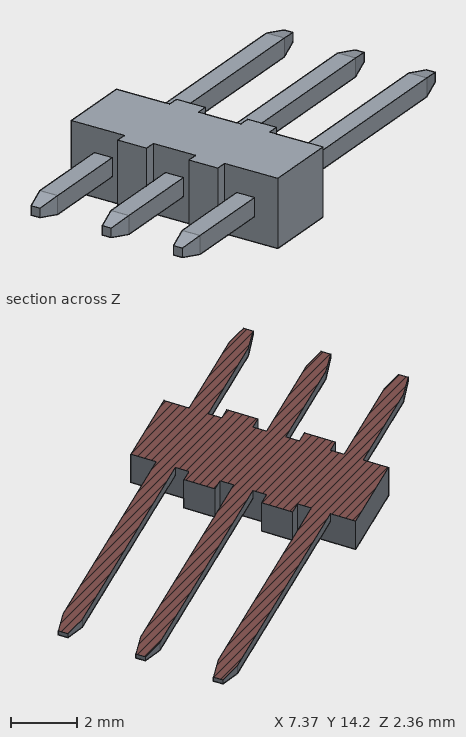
import cadquery as cq

PIN_COUNT = 3
PITCH = 2.54

BODY_LENGTH = 7.37
BODY_DEPTH = 2.54
BODY_HEIGHT = 2.36

RIB_WIDTH = 1.03
RIB_PROJECTION = 0.38

PIN_SIZE = 0.64
PIN_LENGTH = 14.22
PIN_FRONT_REACH = 5.08
TIP_LENGTH = 0.74
TIP_SIZE = 0.32


def row_positions(count):
    """X positions of a centred row of items spaced by the pitch."""
    return [(i - (count - 1) / 2) * PITCH for i in range(count)]


def make_body():
    """Insulator strip with a full-height rib between each pair of pins."""
    body = cq.Workplane("XY").box(BODY_LENGTH, BODY_DEPTH, BODY_HEIGHT)
    rib_depth = BODY_DEPTH + 2 * RIB_PROJECTION
    for x in row_positions(PIN_COUNT - 1):
        rib = cq.Workplane("XY").box(RIB_WIDTH, rib_depth, BODY_HEIGHT)
        body = body.union(rib.translate((x, 0, 0)))
    return body


def make_tip(y_base, direction):
    """Frustum from the full pin section at y_base to the blunt end along +Y or -Y."""
    base_plane = cq.Plane(origin=(0, y_base, 0), xDir=(1, 0, 0), normal=(0, direction, 0))
    return (
        cq.Workplane(base_plane)
        .rect(PIN_SIZE, PIN_SIZE)
        .workplane(offset=TIP_LENGTH)
        .rect(TIP_SIZE, TIP_SIZE)
        .loft(ruled=True)
    )


def make_pin():
    """Square pin along Y, tapered at both ends."""
    shank_front = TIP_LENGTH - PIN_FRONT_REACH
    shank_length = PIN_LENGTH - 2 * TIP_LENGTH
    shank_back = shank_front + shank_length
    shank = cq.Workplane("XY").box(PIN_SIZE, shank_length, PIN_SIZE)
    shank = shank.translate((0, (shank_front + shank_back) / 2, 0))
    return shank.union(make_tip(shank_front, -1)).union(make_tip(shank_back, 1))


result = make_body()
for pin_x in row_positions(PIN_COUNT):
    result = result.union(make_pin().translate((pin_x, 0, 0)))